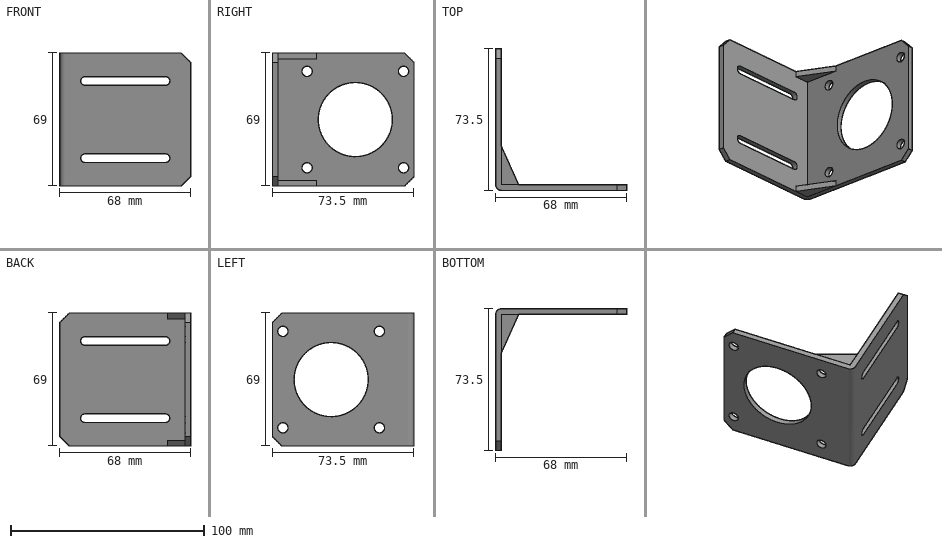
import cadquery as cq

FOOT_LENGTH = 68.0
FACE_LENGTH = 73.5
HEIGHT = 69.0
THICKNESS = 3.0
CORNER_CHAMFER = 5.0

PILOT_DIAMETER = 38.3
SCREW_DIAMETER = 5.2
SCREW_SPACING = 50.0
PATTERN_FROM_END = 30.5

SLOT_LENGTH = 46.1
SLOT_WIDTH = 4.3
SLOT_SPACING = 40.0
SLOT_CENTER_X = 34.0

GUSSET_LEG_X = 9.0
GUSSET_LEG_Y = 20.0
GUSSET_THICKNESS = THICKNESS

MID_HEIGHT = HEIGHT / 2
PATTERN_CENTER_Y = FACE_LENGTH - PATTERN_FROM_END


def make_foot_plate():
    """Slotted plate in the XZ plane, with its outer side at Y = 0."""
    plate = (
        cq.Workplane("XY")
        .box(FOOT_LENGTH, THICKNESS, HEIGHT, centered=False)
        .edges("|Y and >X")
        .chamfer(CORNER_CHAMFER)
    )
    slots = (
        cq.Workplane("XZ", origin=(SLOT_CENTER_X, 0, MID_HEIGHT))
        .rarray(0.7, SLOT_SPACING, 1, 2)
        .slot2D(SLOT_LENGTH, SLOT_WIDTH)
        .extrude(-THICKNESS)
    )
    return plate.cut(slots)


def make_face_plate():
    """Motor plate in the YZ plane, with its outer side at X = 0."""
    plate = (
        cq.Workplane("XY")
        .box(THICKNESS, FACE_LENGTH, HEIGHT, centered=False)
        .edges("|X and >Y")
        .chamfer(CORNER_CHAMFER)
    )
    pattern = cq.Workplane("YZ", origin=(0, PATTERN_CENTER_Y, MID_HEIGHT))
    pilot = pattern.circle(PILOT_DIAMETER / 2).extrude(THICKNESS)
    screw_holes = (
        pattern.rarray(SCREW_SPACING, SCREW_SPACING, 2, 2)
        .circle(SCREW_DIAMETER / 2)
        .extrude(THICKNESS)
    )
    return plate.cut(pilot).cut(screw_holes)


def make_bend_relief():
    """Material outside the rounded outer corner, over the full height."""
    square = cq.Workplane("XY").box(THICKNESS, THICKNESS, HEIGHT, centered=False)
    round_bar = (
        cq.Workplane("XY")
        .center(THICKNESS, THICKNESS)
        .circle(THICKNESS)
        .extrude(HEIGHT)
    )
    return square.cut(round_bar)


def make_bracket():
    """Both plates joined at a bend: sharp inside, rounded outside."""
    return make_foot_plate().union(make_face_plate()).cut(make_bend_relief())


def make_gusset(base_z):
    """Triangular web against the inner sides of both plates."""
    return (
        cq.Workplane("XY", origin=(THICKNESS, THICKNESS, base_z))
        .polyline([(0, 0), (GUSSET_LEG_X, 0), (0, GUSSET_LEG_Y)])
        .close()
        .extrude(GUSSET_THICKNESS)
    )


bracket = make_bracket()

gussets = [make_gusset(base_z) for base_z in (0, HEIGHT - GUSSET_THICKNESS)]

result = cq.Compound.makeCompound([bracket.solids().val(), *[gusset.val() for gusset in gussets]])